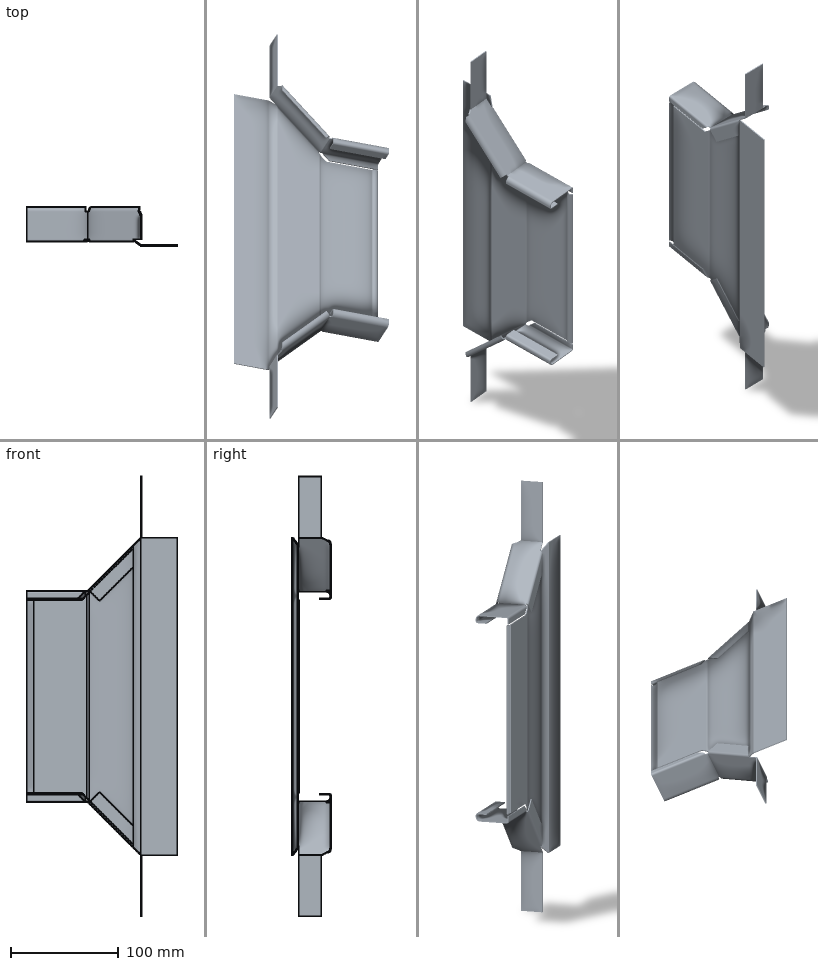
import cadquery as cq
import math

sheet = 1.0
total_length = 408.3
straight_length = 56.7
straight_half = 98.0
strap_x = 106.0
rail_depth = 32.3

front_bend = 2.0
back_bend = 4.0
lip_reach = 7.8
return_bend = 2.0
return_length = 10.5
straight_flange_width = 7.0
sloped_flange_width = 14.3
lip_end_x = 105.0
bend_relief = 2.0
slope_start = 1.2
lip_end_gap = 3.3
strap_width = 21.2

plate_right_x = 140.0
plate_front_y = -4.0
left_panel_half = 89.5
groove_width = 6.5
groove_depth = 3.0
joggle_start_x = 56.0
joggle_end_x = 58.0
ramp_start_x = 99.2

slope_angle = 45.0

slope_rise = strap_x - straight_length
end_half = straight_half + slope_rise
slope_length = slope_rise * math.sqrt(2)
lip_flat_end = lip_reach - return_bend
wall_back_y = rail_depth - back_bend
mitre = sheet * math.tan(math.radians(slope_angle / 2))
strap_back_y = front_bend + strap_width
arc_mid = math.sqrt(0.5)


def bend_mid(center, radius, y_sign, z_sign):
    """Middle point of a quarter bend about the given centre."""
    return (center[0] + y_sign * radius * arc_mid, center[1] + z_sign * radius * arc_mid)


def flange_strip(width, length):
    """Front flange with its bend, along +X; wall face at Z = 0, inward is -Z."""
    center = (front_bend, -front_bend)
    inner = front_bend - sheet
    return (
        cq.Workplane("YZ")
        .moveTo(front_bend, 0)
        .threePointArc(bend_mid(center, front_bend, -1, 1), (0, -front_bend))
        .lineTo(0, -width)
        .lineTo(sheet, -width)
        .lineTo(sheet, -front_bend)
        .threePointArc(bend_mid(center, inner, -1, 1), (front_bend, -sheet))
        .close()
        .extrude(length)
    )


def lip_strip(length):
    """Back lip with its bend, along +X like the flange."""
    center = (wall_back_y, -back_bend)
    inner = back_bend - sheet
    return (
        cq.Workplane("YZ")
        .moveTo(wall_back_y, 0)
        .threePointArc(bend_mid(center, back_bend, 1, 1), (rail_depth, -back_bend))
        .lineTo(rail_depth, -lip_flat_end)
        .lineTo(rail_depth - sheet, -lip_flat_end)
        .lineTo(rail_depth - sheet, -back_bend)
        .threePointArc(bend_mid(center, inner, 1, 1), (wall_back_y, -sheet))
        .close()
        .extrude(length)
    )


def return_strip(length):
    """Forward return that follows on from the back lip, with its bend."""
    center = (rail_depth - return_bend, -lip_flat_end)
    inner = return_bend - sheet
    tip_y = rail_depth - return_length
    return (
        cq.Workplane("YZ")
        .moveTo(rail_depth, -lip_flat_end)
        .threePointArc(bend_mid(center, return_bend, 1, -1), (center[0], -lip_reach))
        .lineTo(tip_y, -lip_reach)
        .lineTo(tip_y, -lip_reach + sheet)
        .lineTo(center[0], -lip_reach + sheet)
        .threePointArc(bend_mid(center, inner, 1, -1), (rail_depth - sheet, -lip_flat_end))
        .close()
        .extrude(length)
    )


def xz_prism(points, front_y, back_y):
    """Prism with the given XZ outline between two Y planes."""
    return cq.Workplane("XZ", origin=(0, back_y, 0)).polyline(points).close().extrude(back_y - front_y)


def on_slope(strip, start):
    """Move a strip from the X axis onto the sloped run, starting past the rail bend."""
    return (
        strip.translate((start, 0, 0))
        .rotate((0, 0, 0), (0, 1, 0), -slope_angle)
        .translate((straight_length, 0, straight_half))
    )


def rail_wall():
    """Straight wall, sloped wall and strap, folded from one strip."""
    outer = [(0, straight_half), (straight_length, straight_half), (strap_x, end_half)]
    inner = [
        (strap_x + sheet, end_half - mitre),
        (straight_length + mitre, straight_half - sheet),
        (0, straight_half - sheet),
    ]
    wall = xz_prism(outer + inner, front_bend, wall_back_y)
    bevel_drop = lip_end_gap * math.sin(math.radians(slope_angle))
    bevel = (
        cq.Workplane("YZ")
        .polyline([
            (strap_back_y, end_half),
            (rail_depth, end_half),
            (rail_depth, end_half - bevel_drop),
            (wall_back_y, end_half - bevel_drop),
        ])
        .close()
        .extrude(plate_right_x)
    )
    strap = xz_prism(
        [
            (strap_x, end_half),
            (strap_x, total_length / 2),
            (strap_x + sheet, total_length / 2),
            (strap_x + sheet, end_half - mitre),
        ],
        front_bend,
        strap_back_y,
    )
    return wall.cut(bevel).union(strap)


def straight_edges():
    """Flange, lip and return of the straight run; the flange end is cut at 45 degrees."""
    end_x = straight_length - bend_relief
    width = straight_flange_width
    mitred = xz_prism([(0, 0), (end_x, 0), (end_x - width, -width), (0, -width)], 0, front_bend)
    flange = flange_strip(width, end_x).intersect(mitred)
    lip = lip_strip(end_x).union(return_strip(end_x))
    return flange.union(lip).translate((0, 0, straight_half))


def trimmed_at(strip, end_x):
    """Keep the part of an upper strip that lies left of end_x."""
    return strip.intersect(cq.Workplane("XY").box(end_x, rail_depth, total_length, centered=False))


def sloped_edges():
    """Flange and lip of the sloped run; the flange stops where the plate ramps forward."""
    flange = on_slope(flange_strip(sloped_flange_width, slope_length), slope_start)
    lip = on_slope(lip_strip(slope_length - slope_start - lip_end_gap), slope_start)
    return trimmed_at(flange, ramp_start_x).union(trimmed_at(lip, lip_end_x))


def side_rail(side):
    """One side rail: +1 for the upper one, -1 for its mirror image below."""
    rail = rail_wall().union(straight_edges()).union(sloped_edges())
    return rail if side > 0 else rail.mirror("XY")


def plate_section():
    """Bent sheet section: edge groove, left panel, joggle, web, ramp and front flange.

    The left panel is flush with the rail flanges; the web lies against their back faces.
    """
    groove_mid = groove_width / 2
    web_front_y = sheet
    return (
        cq.Workplane("XY")
        .moveTo(0, 0)
        .threePointArc((groove_mid, groove_depth - sheet), (groove_width, 0))
        .lineTo(joggle_start_x, 0)
        .lineTo(joggle_end_x, web_front_y)
        .lineTo(ramp_start_x, web_front_y)
        .lineTo(strap_x, plate_front_y)
        .lineTo(plate_right_x, plate_front_y)
        .lineTo(plate_right_x, plate_front_y + sheet)
        .lineTo(strap_x, plate_front_y + sheet)
        .lineTo(ramp_start_x, web_front_y + sheet)
        .lineTo(joggle_end_x, web_front_y + sheet)
        .lineTo(joggle_start_x, sheet)
        .lineTo(groove_width, sheet)
        .threePointArc((groove_mid, groove_depth), (0, sheet))
        .close()
        .extrude(end_half, both=True)
    )


def cover_plate():
    """Plate section trimmed to an outline that follows both rails."""
    outer_offset = straight_half - straight_length
    inset_offset = outer_offset - front_bend * math.sqrt(2)
    upper = [
        (0, left_panel_half),
        (left_panel_half - inset_offset, left_panel_half),
        (ramp_start_x, ramp_start_x + inset_offset),
        (ramp_start_x, ramp_start_x + outer_offset),
        (strap_x, end_half),
        (plate_right_x, end_half),
    ]
    lower = [(x, -z) for x, z in reversed(upper)]
    return plate_section().intersect(xz_prism(upper + lower, plate_front_y, rail_depth))


plate = cover_plate()
side_rails = [side_rail(side) for side in (1, -1)]

result = cq.Compound.makeCompound([plate.val(), *[rail.val() for rail in side_rails]])